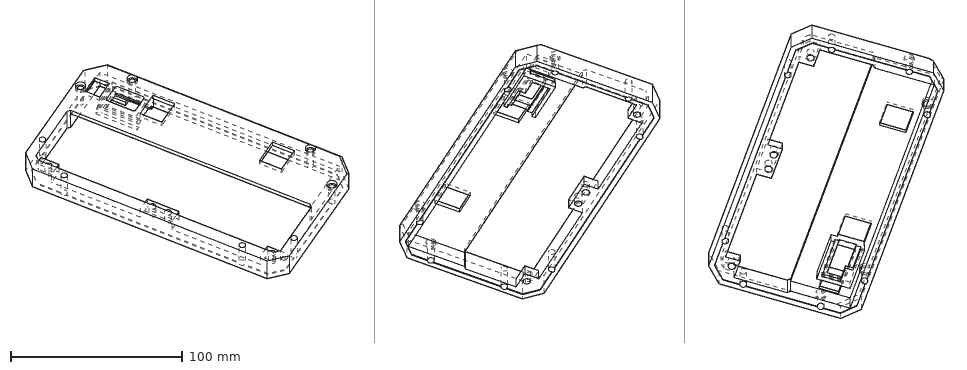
import cadquery as cq
import math

length = 174.0
width = 94.0
height = 15.7
corner_cut = 9.5
back_bevel = 1.7

side_wall = 6.5
plate_thickness = 3.0
plate_underside = height - plate_thickness

opening_half_x = length / 2 - side_wall
opening_front = -39.3
opening_back = 4.0
opening_front_cut = 3.0
opening_back_cut = 1.5

cavity_half_x = opening_half_x - opening_back_cut
cavity_back = width / 2 - side_wall

cover_recess_depth = 0.7
cover_recess_inset = side_wall / 2

screw_hole = 3.8
screw_head = 6.0
screw_head_depth = 2.6
end_screw_x, end_screw_y = 58.8, 42.8
side_screw_x, side_screw_y = 83.0, 23.8

socket_left, socket_right = -64.5, -45.6
socket_front, socket_back = 20.7, 33.2
socket_corner_radius = 1.2
socket_floor = height - 6.1
housing_bottom = height - 10.5
housing_left, housing_right = -69.0, -42.0
housing_wall = 4.0

lip_inset = 1.0
lip_bottom = socket_floor - 1.4
lower_pocket_margin = 1.7
catch_right = -56.8
catch_front = 30.5

relief_depth = 0.9
relief_back = 33.0
relief_radius = 0.9

plain_windows = [
    (-78.5, housing_left, 21.2, 33.2),
    (housing_right, -27.7, 20.7, 36.9),
    (36.9, 51.4, 20.7, 36.9),
]

tab_top = 7.7
tab_back = -30.3
end_tab_inner_x = 69.0
middle_tab_half_x = 10.5
tab_hole = 4.2
tab_hole_y = -34.0
end_tab_hole_x = 73.8
middle_tab_hole_x = 5.0


def box(left, right, front, back, bottom, top):
    """Axis-aligned block given by its six faces."""
    block = cq.Workplane("XY").box(right - left, back - front, top - bottom, centered=False)
    return block.translate((left, front, bottom))


def vertical_holes(points, diameter, bottom):
    """Round cutters running from the bottom level up to the top face."""
    sketch = cq.Workplane("XY").workplane(offset=bottom).pushPoints(points)
    return sketch.circle(diameter / 2).extrude(height - bottom)


def make_body():
    body = box(-length / 2, length / 2, -width / 2, width / 2, 0, height)
    body = body.edges("|Z").chamfer(corner_cut)
    margin = 0.2
    back_edges = cq.selectors.BoxSelector(
        (-length, width / 2 - corner_cut + margin, height - margin),
        (length, width, height + margin),
    )
    return body.edges(back_edges).chamfer(back_bevel)


def make_cover_recess():
    half_x, half_y = length / 2 - cover_recess_inset, width / 2 - cover_recess_inset
    recess = box(-half_x, half_x, -half_y, half_y, 0, cover_recess_depth)
    recess_cut = corner_cut - cover_recess_inset * (2 - math.sqrt(2))
    return recess.edges("|Z").chamfer(recess_cut)


def make_opening():
    opening = box(-opening_half_x, opening_half_x, opening_front, opening_back, 0, height)
    opening = opening.edges("|Z and <Y").chamfer(opening_front_cut)
    return opening.edges("|Z and >Y").chamfer(opening_back_cut)


def make_housing():
    front, back = socket_front - housing_wall, socket_back + housing_wall
    housing = box(housing_left, housing_right, front, back, housing_bottom, plate_underside)
    relief_floor = housing_left + relief_depth
    relief = box(
        housing_left - relief_depth, relief_floor, front, relief_back, socket_floor, plate_underside
    )
    return housing.cut(relief.edges("|Z and >X and >Y").fillet(relief_radius))


def make_socket():
    socket = box(socket_left, socket_right, socket_front, socket_back, socket_floor, height)
    socket = socket.edges("|Z").fillet(socket_corner_radius)
    lip_opening = box(
        socket_left, housing_right,
        socket_front + lip_inset, socket_back - lip_inset,
        lip_bottom, socket_floor,
    )
    pocket_left = socket_left - lower_pocket_margin
    pocket_front = socket_front - lower_pocket_margin
    pocket_back = socket_back + lower_pocket_margin
    lower_pocket = box(pocket_left, housing_right, pocket_front, pocket_back, housing_bottom, lip_bottom)
    catch = box(pocket_left, catch_right, catch_front, pocket_back, housing_bottom, lip_bottom)
    return socket.union(lip_opening).union(lower_pocket.cut(catch))


def make_tabs():
    spans = [
        (-opening_half_x, -end_tab_inner_x),
        (-middle_tab_half_x, middle_tab_half_x),
        (end_tab_inner_x, opening_half_x),
    ]
    tabs = cq.Workplane("XY")
    for left, right in spans:
        tabs = tabs.add(box(left, right, opening_front, tab_back, cover_recess_depth, tab_top))
    return tabs.combine()


result = make_body().cut(make_cover_recess()).cut(make_opening())
result = result.cut(box(-cavity_half_x, cavity_half_x, opening_back, cavity_back, 0, plate_underside))
result = result.union(make_housing()).cut(make_socket())
for left, right, front, back in plain_windows:
    result = result.cut(box(left, right, front, back, plate_underside, height))

result = result.union(make_tabs())
tab_hole_xs = [-end_tab_hole_x, -middle_tab_hole_x, middle_tab_hole_x, end_tab_hole_x]
result = result.cut(vertical_holes([(x, tab_hole_y) for x in tab_hole_xs], tab_hole, 0))

back_screws = [(side * end_screw_x, end_screw_y) for side in (-1, 1)]
back_screws += [(side * side_screw_x, side_screw_y) for side in (-1, 1)]
front_screws = [(x, -y) for x, y in back_screws]
result = result.cut(vertical_holes(back_screws + front_screws, screw_hole, 0))
result = result.cut(vertical_holes(back_screws, screw_head, height - screw_head_depth))